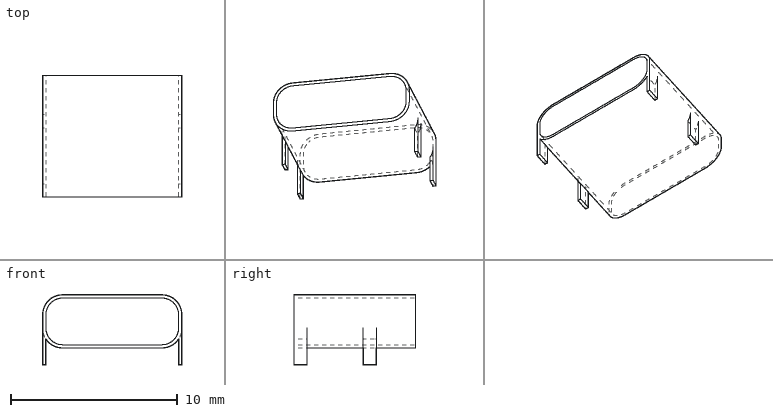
import cadquery as cq

shell_width = 8.35
shell_depth = 7.3
shell_height = 3.2
corner_radius = 1.2
wall = 0.2

leg_width = 0.8
leg_drop = 1.0
leg_pitch = 4.15

front_y = -shell_depth / 2


def rounded_bar(width, height, radius):
    """Bar with rounded long edges, running the full depth of the shell."""
    return (
        cq.Workplane("XY")
        .box(width, shell_depth, height)
        .edges("|Y")
        .fillet(radius)
        .translate((0, 0, shell_height / 2))
    )


def make_core():
    """Solid insert that fills the shell, flush with both ends."""
    return rounded_bar(shell_width - 2 * wall, shell_height - 2 * wall, corner_radius - wall)


def make_leg(side, leg_front_y):
    """One leg, flush with the outside of a side wall and starting where the wall turns under."""
    outer_x = side * shell_width / 2
    return (
        cq.Workplane("XY")
        .box(wall, leg_width, corner_radius + leg_drop, centered=(True, False, False))
        .translate((outer_x - side * wall / 2, leg_front_y, -leg_drop))
    )


def make_shell(core):
    """Tube with two legs on each side, hollowed to fit the core."""
    shell = rounded_bar(shell_width, shell_height, corner_radius)
    for side in (-1, 1):
        for leg_front_y in (front_y, front_y + leg_pitch):
            shell = shell.union(make_leg(side, leg_front_y))
    return shell.cut(core)


core = make_core()
shell = make_shell(core)

result = cq.Compound.makeCompound([shell.val(), core.val()])